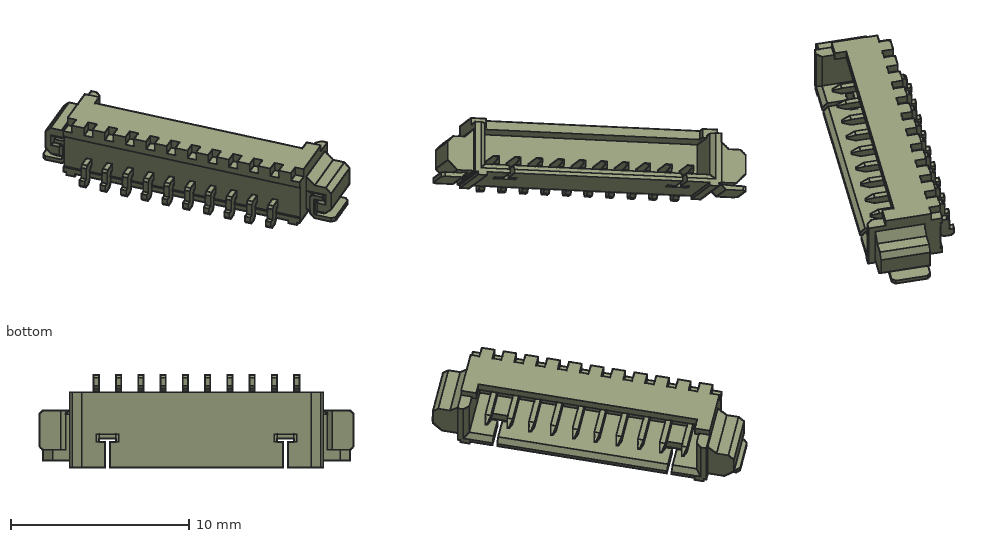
import cadquery as cq


total_length = 17.65
total_height = 3.4
pin_count = 10
pitch = 1.25

notch_width = 0.51
notch_depth_y = 0.64
notch_depth_z = 0.5

housing_half = (pin_count + 1) / 2 * pitch + notch_width / 2
housing_depth = 4.24
housing_bottom = 0.18
roof_corner_y = 3.27
roof_middle_y = 2.61
roof_corner_inner_x = 6.27
side_wall_top = 3.02
front_recess = 0.1
front_recess_bottom = 0.5
front_recess_top = 2.55

cavity_half = 6.51
cavity_front_y = 1.06
cavity_floor = 0.67
cavity_ceiling = 2.91
mouth_chamfer = 0.28

slot_width = 0.26
slot_stem_y = 2.79
slot_head_depth = 0.42

rail_outer_x = 6.97
rail_width = 0.53

ear_front_y = 1.02
ear_back_y = 3.85
ear_outer_x = 8.63
ear_top = 2.2
ear_bottom = 0.28
ear_shoulder_rise = 0.46
ear_shoulder_run = 0.51
ear_top_chamfer = 0.32
ear_bottom_chamfer = 0.55
ear_front_chamfer = 0.23

clip_sheet = 0.25
clip_back_y = 3.25
clip_bar_end_x = 8.1
clip_bar_top = 1.52
clip_outer_chamfer = 0.18
clip_inner_chamfer = 0.09
clip_heel = 0.28
foot_corner_chamfer = 0.2
lead_in = 0.21
lead_in_angle = 45

pin_width = 0.32
pin_top = 1.35
pin_thickness = 0.45
pin_leg_front_y = -0.7
pin_leg_back_y = -0.18
pin_toe_y = -0.97
pin_toe_top = 0.51
pin_bend_chamfer = 0.15
pin_sole_chamfer = 0.18
pin_taper_y = 3.05
pin_tip_y = 3.55
pin_tip_size = 0.1


def box(x0, x1, y0, y1, z0, z1):
    """Axis-aligned block between two corners."""
    return cq.Workplane("XY").box(x1 - x0, y1 - y0, z1 - z0, centered=False).translate((x0, y0, z0))


def prism_along_x(yz_points, x0, x1):
    """Prism with a YZ outline, running from x0 to x1."""
    return cq.Workplane("YZ").workplane(offset=x0).polyline(yz_points).close().extrude(x1 - x0)


def prism_along_y(xz_points, y0, y1):
    """Prism with an XZ outline, running from y0 to y1."""
    return cq.Workplane("XZ").workplane(offset=-y1).polyline(xz_points).close().extrude(y1 - y0)


def mirrored_pair(shape):
    """The shape together with its mirror image in the plane X = 0."""
    return shape.union(shape.mirror("YZ"))


def mouth_outline(growth):
    """Cavity outline widened by growth at the walls and floor, and open at the top."""
    half = cavity_half + growth
    floor = cavity_floor - growth
    return [(-half, floor), (half, floor), (half, total_height), (-half, total_height)]


def make_mouth():
    """Flare of the cavity walls and floor at the opening."""
    return (
        cq.Workplane("XZ", origin=(0, housing_depth - mouth_chamfer, 0))
        .polyline(mouth_outline(0))
        .close()
        .workplane(offset=-mouth_chamfer)
        .polyline(mouth_outline(mouth_chamfer))
        .close()
        .loft(ruled=True)
    )


def make_housing():
    """Hollow housing with a stepped front, an open roof edge and two standoff rails."""
    side_outline = [
        (front_recess, housing_bottom),
        (0, housing_bottom),
        (0, front_recess_bottom),
        (front_recess, front_recess_bottom),
        (front_recess, front_recess_top),
        (0, front_recess_top),
        (0, total_height),
        (roof_corner_y, total_height),
        (roof_corner_y, side_wall_top),
        (housing_depth, side_wall_top),
        (housing_depth, housing_bottom),
    ]
    housing = prism_along_x(side_outline, -housing_half, housing_half)
    housing = housing.cut(
        box(-cavity_half, cavity_half, cavity_front_y, housing_depth, cavity_floor, cavity_ceiling)
    )
    housing = housing.cut(
        box(
            -roof_corner_inner_x,
            roof_corner_inner_x,
            roof_middle_y,
            housing_depth,
            cavity_floor,
            total_height,
        )
    )
    housing = housing.cut(
        box(-cavity_half, cavity_half, roof_corner_y, housing_depth, cavity_floor, total_height)
    )
    housing = housing.cut(make_mouth())

    rail = box(rail_outer_x - rail_width, rail_outer_x, 0, housing_depth, 0, housing_bottom)
    return housing.union(mirrored_pair(rail))


def cut_notches(body):
    """Notches over every pin and one pitch beyond each end of the row."""
    for index in range(-1, pin_count + 1):
        x = pin_x(index)
        body = body.cut(
            box(
                x - notch_width / 2,
                x + notch_width / 2,
                0,
                notch_depth_y,
                total_height - notch_depth_z,
                total_height,
            )
        )
    return body


def make_floor_slots():
    """T-shaped slots centred between the two outermost pins at each end."""
    slot_x = (pin_x(pin_count - 1) + pin_x(pin_count - 2)) / 2
    head_y = slot_stem_y - slot_head_depth
    stem = box(slot_x - slot_width / 2, slot_x + slot_width / 2, head_y, housing_depth, 0, cavity_floor)
    head = box(slot_x - pitch / 2, slot_x + pitch / 2, head_y, slot_stem_y, 0, cavity_floor)
    return mirrored_pair(stem.union(head))


def make_clip(clip_outer_x):
    """Bent sheet clip: bar in the ear, upright beside the housing and foot on the board."""
    upright_outer_x = clip_outer_x + clip_sheet
    bar_bottom = clip_bar_top - clip_sheet
    foot_end_x = total_length / 2
    outline = [
        (clip_bar_end_x, clip_bar_top),
        (clip_outer_x + clip_outer_chamfer, clip_bar_top),
        (clip_outer_x, clip_bar_top - clip_outer_chamfer),
        (clip_outer_x, clip_heel),
        (clip_outer_x + clip_heel, 0),
        (foot_end_x, 0),
        (foot_end_x, clip_sheet),
        (upright_outer_x + clip_inner_chamfer, clip_sheet),
        (upright_outer_x, clip_sheet + clip_inner_chamfer),
        (upright_outer_x, bar_bottom - clip_inner_chamfer),
        (upright_outer_x + clip_inner_chamfer, bar_bottom),
        (clip_bar_end_x, bar_bottom),
    ]
    clip = prism_along_y(outline, ear_front_y, clip_back_y)
    return clip.edges("|Z and >X").chamfer(foot_corner_chamfer)


def make_lead_in(clip_outer_x):
    """Flared entry of the clip slot, narrowing to the clip outline."""
    wide_inner_x = clip_outer_x - lead_in
    wide_upright_x = clip_outer_x + clip_sheet + lead_in
    wide_bar_x = clip_bar_end_x + lead_in
    wide_top = clip_bar_top + lead_in
    wide_bottom = clip_bar_top - clip_sheet - lead_in
    below_ear = -lead_in
    outline = [
        (wide_bar_x, wide_top),
        (wide_inner_x, wide_top),
        (wide_inner_x, below_ear),
        (wide_upright_x, below_ear),
        (wide_upright_x, wide_bottom),
        (wide_bar_x, wide_bottom),
    ]
    return (
        cq.Workplane("XZ", origin=(0, ear_front_y, 0))
        .polyline(outline)
        .close()
        .extrude(-lead_in, taper=lead_in_angle)
    )


def make_ear():
    """Right-hand ear with its solder clip."""
    outline = [
        (housing_half, ear_bottom),
        (housing_half, ear_top + ear_shoulder_rise),
        (housing_half + ear_shoulder_run, ear_top),
        (ear_outer_x - ear_top_chamfer, ear_top),
        (ear_outer_x, ear_top - ear_top_chamfer),
        (ear_outer_x, ear_bottom + ear_bottom_chamfer),
        (ear_outer_x - ear_bottom_chamfer, ear_bottom),
    ]
    ear = prism_along_y(outline, ear_front_y, ear_back_y)
    ear = ear.edges("<Y and <Z").chamfer(ear_front_chamfer)
    clip_outer_x = housing_half + lead_in
    return ear.cut(make_lead_in(clip_outer_x)).union(make_clip(clip_outer_x))


def pin_x(index):
    """X position of a pin, counted from the -X end of the row."""
    return (index - (pin_count - 1) / 2) * pitch


def make_pin():
    """One pin centred on X = 0: tapered contact, straight shank and bent solder leg."""
    pin_bottom = pin_top - pin_thickness
    outline = [
        (pin_taper_y, pin_top),
        (pin_leg_front_y + pin_bend_chamfer, pin_top),
        (pin_leg_front_y, pin_top - pin_bend_chamfer),
        (pin_leg_front_y, pin_toe_top),
        (pin_toe_y, pin_toe_top),
        (pin_toe_y, pin_sole_chamfer),
        (pin_toe_y + pin_sole_chamfer, 0),
        (pin_leg_back_y - pin_sole_chamfer, 0),
        (pin_leg_back_y, pin_sole_chamfer),
        (pin_leg_back_y, pin_bottom - pin_bend_chamfer),
        (pin_leg_back_y + pin_bend_chamfer, pin_bottom),
        (pin_taper_y, pin_bottom),
    ]
    shank = prism_along_x(outline, -pin_width / 2, pin_width / 2)
    tip = (
        cq.Workplane("XZ", origin=(0, pin_taper_y, (pin_top + pin_bottom) / 2))
        .rect(pin_width, pin_thickness)
        .workplane(offset=pin_taper_y - pin_tip_y)
        .rect(pin_tip_size, pin_tip_size)
        .loft(ruled=True)
    )
    return shank.union(tip)


result = cut_notches(make_housing()).cut(make_floor_slots())
result = result.union(mirrored_pair(make_ear()))
pin = make_pin()
for index in range(pin_count):
    result = result.union(pin.translate((pin_x(index), 0, 0)))